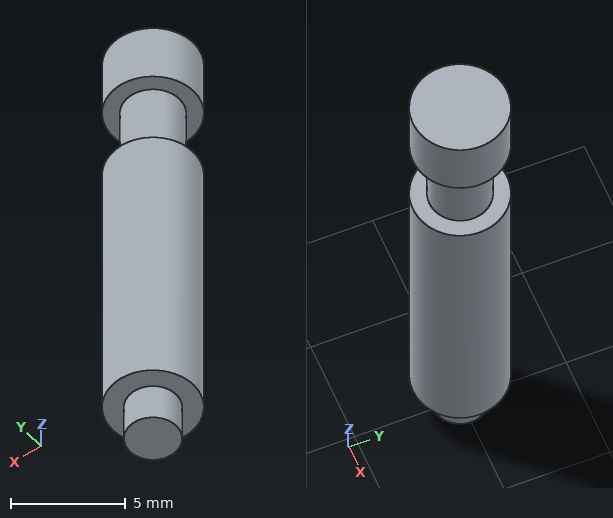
import cadquery as cq

main_diameter = 4.45
neck_diameter = 2.9
tail_diameter = 2.55

total_length = 23.9
tail_length = 2.0
neck_length = 3.9
head_length = 3.1
body_length = total_length - tail_length - neck_length - head_length


def add_section(pin, diameter, length, base_z):
    """Join a coaxial cylinder whose lower face sits at base_z."""
    section = cq.Workplane("XY", origin=(0, 0, base_z)).circle(diameter / 2).extrude(length)
    return pin.union(section)


sections = [
    (tail_diameter, tail_length),
    (main_diameter, body_length),
    (neck_diameter, neck_length),
    (main_diameter, head_length),
]

result = cq.Workplane("XY")
section_base_z = 0.0
for section_diameter, section_length in sections:
    result = add_section(result, section_diameter, section_length, section_base_z)
    section_base_z += section_length